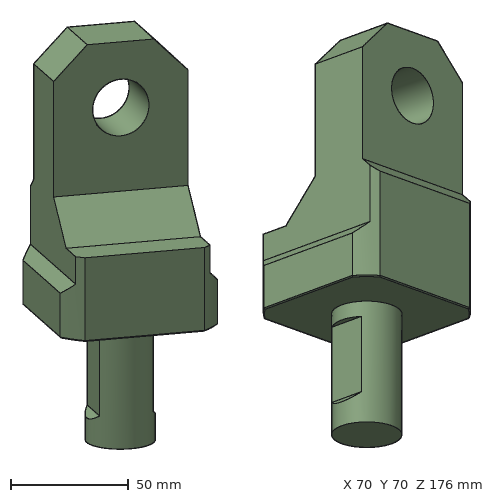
import cadquery as cq

TOTAL_HEIGHT = 176.0

BLOCK_WIDTH = 70.0
CORNER_DIAMETER = 88.0
BLOCK_BOTTOM = 55.0
BOTTOM_CHAMFER = 0.5
STEP_TOP = 92.2
SHOULDER_TOP = 110.0

LUG_WIDTH = 59.8
LUG_THICKNESS = 28.5
LUG_INSET = 7.4
LUG_CORNER_CHAMFER = 15.0
INSET_SLOPE_DROP = 6.9
EYE_DIAMETER = 25.0
EYE_HEIGHT = 147.0

FLANGE_TOP = 75.0

PIN_DIAMETER = 30.0
FLAT_SPACING = 24.0
FLAT_BOTTOM = 13.9
FLAT_TOP = 48.2

block_half = BLOCK_WIDTH / 2
lug_half = LUG_WIDTH / 2
lug_left = LUG_INSET - block_half
lug_right = lug_left + LUG_THICKNESS
slope_run = SHOULDER_TOP - STEP_TOP


def make_side_profile():
    """Stepped XZ outline of block and lug, extruded over the block width."""
    return (
        cq.Workplane("XZ")
        .polyline([
            (-block_half, BLOCK_BOTTOM),
            (block_half, BLOCK_BOTTOM),
            (block_half, STEP_TOP),
            (lug_right + slope_run, STEP_TOP),
            (lug_right, SHOULDER_TOP),
            (lug_right, TOTAL_HEIGHT),
            (lug_left, TOTAL_HEIGHT),
            (lug_left, SHOULDER_TOP),
            (-block_half, SHOULDER_TOP - INSET_SLOPE_DROP),
        ])
        .close()
        .extrude(block_half, both=True)
    )


def make_end_profile():
    """Symmetric YZ outline with flanges and chamfered lug top."""
    bevel = block_half - lug_half
    right_side = [
        (block_half, BLOCK_BOTTOM),
        (block_half, FLANGE_TOP),
        (lug_half, FLANGE_TOP + bevel),
        (lug_half, TOTAL_HEIGHT - LUG_CORNER_CHAMFER),
        (lug_half - LUG_CORNER_CHAMFER, TOTAL_HEIGHT),
    ]
    left_side = [(-y, z) for y, z in reversed(right_side)]
    return (
        cq.Workplane("YZ")
        .polyline(right_side + left_side)
        .close()
        .extrude(block_half, both=True)
    )


def make_corner_round():
    """Cylinder that bounds the corners of the block."""
    return (
        cq.Workplane("XY", origin=(0, 0, BLOCK_BOTTOM))
        .circle(CORNER_DIAMETER / 2)
        .extrude(TOTAL_HEIGHT - BLOCK_BOTTOM)
    )


def make_eye():
    """Through hole along X in the lug."""
    return (
        cq.Workplane("YZ")
        .center(0, EYE_HEIGHT)
        .circle(EYE_DIAMETER / 2)
        .extrude(block_half, both=True)
    )


def make_flat_cutter(side):
    """Pocket for one flat: square upper end, 45 degree run-out at the lower end."""
    radius = PIN_DIAMETER / 2
    depth = radius - FLAT_SPACING / 2
    return (
        cq.Workplane("YZ")
        .polyline([
            (side * (radius - depth), FLAT_TOP),
            (side * (radius - depth), FLAT_BOTTOM),
            (side * radius, FLAT_BOTTOM - depth),
            (side * radius, FLAT_TOP),
        ])
        .close()
        .extrude(radius, both=True)
    )


def make_pin():
    pin = cq.Workplane("XY").circle(PIN_DIAMETER / 2).extrude(BLOCK_BOTTOM)
    for side in (-1, 1):
        pin = pin.cut(make_flat_cutter(side))
    return pin


body = make_side_profile().intersect(make_end_profile()).intersect(make_corner_round())
body = body.faces("<Z").chamfer(BOTTOM_CHAMFER)
result = body.cut(make_eye()).union(make_pin())